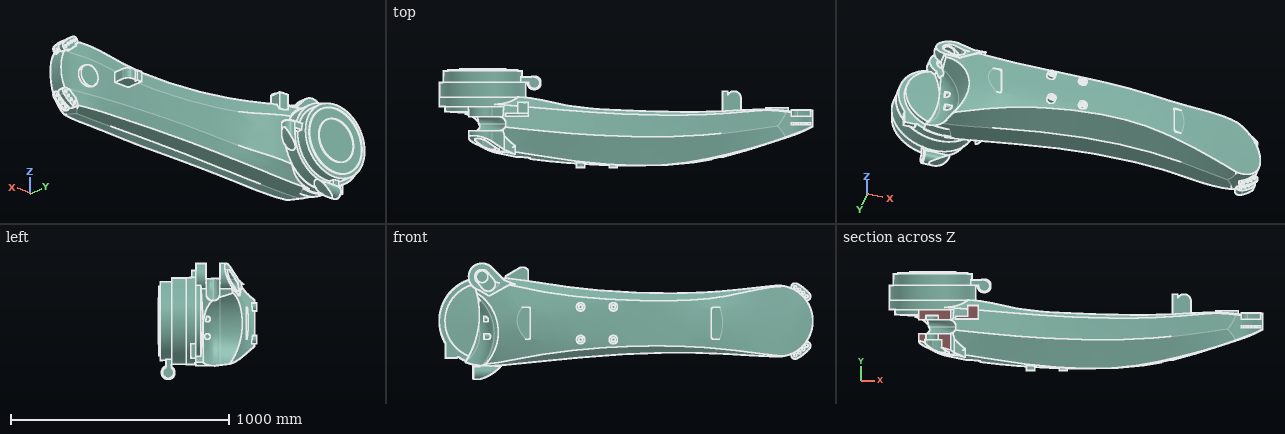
import cadquery as cq
import math


drum_radius = 200.0
flange_depth = 173.0
drum_steps = [
    (105.0, 0.0, 10.0),
    (160.0, 4.0, 12.0),
    (181.0, 9.0, 62.0),
    (drum_radius - 1.5, 62.0, 130.0),
    (drum_radius, 130.0, flange_depth),
]
cover_radius = 173.0
cover_rim_depth = 196.0
cover_depth = 207.0

neck_radius = 205.0
neck_end_depth = 220.0
wrist_x = 1350.0
wrist_radius = 164.15
shoulder_inset = 8.0
back_inset = 75.0
arm_end_x = wrist_x + wrist_radius + 2.0
arm_sections = [
    (-60.0, 196.0, -198.0, (183.0, 305.0), (-192.0, 295.0), 335.0, 245.0, 160.0, 138.0),
    (60.0, 200.0, -205.0, (178.0, 364.0), (-192.0, 345.0), 384.0, 262.0, 162.0, 138.0),
    (210.0, 184.0, -191.0, (147.0, 390.0), (-164.0, 387.0), 413.0, 278.0, 175.0, 132.0),
    (390.0, 157.0, -173.0, (117.0, 418.0), (-137.0, 418.0), 432.0, 295.0, 190.0, 168.0),
    (640.0, 134.0, -153.0, (97.0, 441.0), (-117.0, 441.0), 444.0, 309.0, 207.0, 189.0),
    (840.0, 128.0, -146.0, (93.0, 440.0), (-114.0, 440.0), 441.5, 311.0, 212.0, 196.0),
    (1090.0, 137.0, -150.0, (110.0, 399.0), (-127.0, 399.0), 407.0, 296.0, 206.0, 194.0),
    (1210.0, 149.0, -157.0, (134.0, 369.0), (-141.0, 369.0), 374.0, 281.0, 195.0, 187.0),
    (wrist_x, wrist_radius, -wrist_radius, (158.0, 327.0), (-158.0, 327.0), 329.0, 261.0, 192.0, 188.0),
    (arm_end_x, wrist_radius, -wrist_radius, (159.0, 260.0), (-159.0, 260.0), 262.0, 248.0, 196.0, 188.0),
]
wrist_back_depth = 188.0
wrist_boss_radius = 52.0
wrist_boss_depth = 177.0
wrist_boss_overlap = 10.0

mouth_wall_radius = 400.0
mouth_wall_x = -415.0
mouth_wall_z = 30.0
lip_x = -170.0
lip_z = -57.0
lip_inner = (156.0, 206.0)
lip_bend = (195.0, 226.0)
lip_throat = (222.0, 283.0)
lip_outer = (245.0, 400.0)
cap_screw_radius = 13.0
cap_screw_x = 5.0
cap_screw_length = 60.0
cap_screw_depth = 226.0
cap_screw_heights = (9.0, -71.0)

lug_x = -3.0
lug_z = 203.2
lug_radius = 62.0
lug_root = [(100.0, 187.0), (150.0, 168.0), (125.0, 168.0), (30.0, 115.0)]
lug_front_depth = 283.0
lug_front_end = 400.0
lug_bore_radius = 27.0
lug_bore_floor = 200.0
lug_slope_x = 0.3
lug_slope_z = -0.35
lug_plane_depth = 406.0
lug_trim_size = 1000.0
seat_radius = 33.0
seat_end_x = 25.0
seat_end_z = 170.0
seat_depth = 312.0
gap_radius = 110.0
gap_rim_round = 30.0

screw_x = 524.0
face_z = -10.0
screw_pitch = 150.0
screw_radius = 19.0
screw_socket_radius = 9.0
screw_socket_depth = 6.0
screw_top_depth = 453.0
flat_floor_depth = 405.0
flat_height = 146.0
flat_corner_radius = 8.0
left_flat_edge = 219.0
right_flat_edge = 1049.0
flat_width = 75.0

port_radius = 31.0
lower_port_depth = 46.0
side_port_depth = 64.0
port_offset = 236.24
port_chamfer = 5.0
port_start = -46.0
port_taper_start = -13.0
port_end = 85.0
port_taper_bulge = (30.0, -250.0)
port_web_top = -150.0
web_depths = (36.0, 62.0)

bracket_inner_radius = 150.0
bracket_pitch_radius = 176.0
bracket_half_width = 19.0
bracket_hole_radius = 6.0
bracket_angles = (40.0, 47.3, 54.6, 62.0)
bracket_plates = ((188.0, 218.0), (248.0, 256.0))

tab_plate_depths = (203.0, 217.0)
tab_block_depths = (154.0, 203.0)
tab_left = 95.0
tab_right = 209.0
tab_root_z = 150.0
tab_shoulder = (105.0, 206.0)
tab_crest_start = (165.0, 242.0)
tab_crest = (190.0, 247.0)
tab_crest_end_z = 232.0
tab_block_left = 160.0
foot_outline = [(-171.0, -100.0), (-171.0, -170.0), (-118.0, -170.0), (-100.0, -150.0)]
foot_depths = (150.0, flange_depth)
peg_x = 1152.0
peg_radius = 33.0
peg_top_depth = 102.0
peg_end_depth = 230.0
peg_z = (16.0, 66.0)
peg_plate_x = 1099.0
peg_plate_width = 25.0


def at_depth(depth):
    """XZ sketch plane at a depth; local X is +X, local Y is +Z, extrudes toward -Y."""
    return cq.Workplane("XZ", origin=(0, -depth, 0))


def disc(x, z, radius, start, end):
    return at_depth(start).center(x, z).circle(radius).extrude(end - start)


def block(x_range, depth_range, z_range):
    (x0, x1), (d0, d1), (z0, z1) = x_range, depth_range, z_range
    return cq.Workplane("XY").box(x1 - x0, d1 - d0, z1 - z0, centered=False).translate((x0, -d1, z0))


def drum():
    body = disc(0, 0, *drum_steps[0])
    for radius, start, end in drum_steps[1:]:
        body = body.union(disc(0, 0, radius, start, end))
    return body


def drum_cover():
    profile = [
        (0, -flange_depth),
        (cover_radius, -flange_depth),
        (cover_radius, -cover_rim_depth),
        (0, -cover_depth),
    ]
    return cq.Workplane("XY").polyline(profile).close().revolve(360, (0, 0), (0, 1))


def arm_section(x, top, bottom, top_edge, bottom_edge, crown, middle, shoulder, back):
    def corner(depth, z):
        return cq.Vector(x, -depth, z)

    edge_top = corner(top_edge[1], top_edge[0])
    edge_bottom = corner(bottom_edge[1], bottom_edge[0])
    chain = [
        edge_bottom,
        corner(middle, bottom),
        corner(shoulder, bottom + shoulder_inset),
        corner(back, bottom + back_inset),
        corner(back, top - back_inset),
        corner(shoulder, top - shoulder_inset),
        corner(middle, top),
        edge_top,
    ]
    sides = [cq.Edge.makeLine(start, end) for start, end in zip(chain, chain[1:])]
    face_middle = corner(crown, (top_edge[0] + bottom_edge[0]) / 2)
    front = cq.Edge.makeThreePointArc(edge_top, face_middle, edge_bottom)
    return cq.Wire.assembleEdges(sides + [front])


def arm_body():
    """Lofted beam, rounded about the wrist axis, with the drum neck and wrist boss."""
    wires = [arm_section(*section) for section in arm_sections]
    beam = cq.Workplane(cq.Solid.makeLoft(wires, False))
    depths = (0.0, screw_top_depth)
    heights = (-2 * wrist_radius, 2 * wrist_radius)
    end_round = block((wrist_x, wrist_x + 2 * wrist_radius), depths, heights)
    end_round = end_round.cut(disc(wrist_x, 0, wrist_radius, *depths))
    neck = disc(0, 0, neck_radius, flange_depth, neck_end_depth)
    boss = disc(wrist_x, 0, wrist_boss_radius, wrist_boss_depth, wrist_back_depth + wrist_boss_overlap)
    return beam.cut(end_round).union(neck).union(boss)


def wrist_bracket():
    """Two-plate bracket with bolt holes on an arc around the wrist axis."""
    first = math.radians(bracket_angles[0])
    last = math.radians(bracket_angles[-1])
    centre = (first + last) / 2
    outer = bracket_pitch_radius + bracket_half_width

    def polar(radius, angle):
        return (wrist_x + radius * math.cos(angle), radius * math.sin(angle))

    bracket = None
    for start, end in bracket_plates:
        plate = (
            at_depth(start)
            .moveTo(*polar(bracket_inner_radius, first))
            .lineTo(*polar(outer, first))
            .threePointArc(polar(outer, centre), polar(outer, last))
            .lineTo(*polar(bracket_inner_radius, last))
            .close()
            .extrude(end - start)
        )
        for angle in (first, last):
            plate = plate.union(disc(*polar(bracket_pitch_radius, angle), bracket_half_width, start, end))
        for angle in bracket_angles:
            hole = disc(*polar(bracket_pitch_radius, math.radians(angle)), bracket_hole_radius, start, end)
            plate = plate.cut(hole)
        bracket = plate if bracket is None else bracket.union(plate)
    return bracket


def mouth():
    wall = disc(mouth_wall_x, mouth_wall_z, mouth_wall_radius, flange_depth, lip_outer[1])
    flare = (
        cq.Workplane("XY", origin=(lip_x, 0, lip_z))
        .moveTo(0, -lip_inner[1])
        .lineTo(lip_inner[0], -lip_inner[1])
        .threePointArc((lip_bend[0], -lip_bend[1]), (lip_throat[0], -lip_throat[1]))
        .lineTo(lip_outer[0], -lip_outer[1])
        .lineTo(0, -lip_outer[1])
        .close()
        .revolve(360, (0, 0), (0, 1))
    )
    return wall.union(flare)


def lug(start, end):
    """Round lug blended by straight flanks into the arm."""
    flank = lug_radius * math.sqrt(0.5)
    upper_flank = (lug_x + flank, lug_z + flank)
    lower_flank = (lug_x - flank, lug_z - flank)
    outline = [upper_flank] + lug_root + [lower_flank]
    web = at_depth(start).polyline(outline).close().extrude(end - start)
    return web.union(disc(lug_x, lug_z, lug_radius, start, end))


def lug_slope():
    """Block filling the space in front of the sloping lug face."""
    normal = cq.Vector(-lug_slope_x, -1, -lug_slope_z)
    plane = cq.Plane(origin=(0, -lug_plane_depth, 0), xDir=(1, -lug_slope_x, 0), normal=normal)
    return cq.Workplane(plane).rect(lug_trim_size, lug_trim_size).extrude(lug_trim_size)


def seat():
    run_x = seat_end_x - lug_x
    run_z = seat_end_z - lug_z
    angle = math.degrees(math.atan2(run_z, run_x))
    length = math.hypot(run_x, run_z) + 2 * seat_radius
    return (
        at_depth(seat_depth)
        .center((lug_x + seat_end_x) / 2, (lug_z + seat_end_z) / 2)
        .slot2D(length, 2 * seat_radius, angle)
        .extrude(lug_front_end - seat_depth)
    )


def lug_gap():
    """Round-rimmed slot between the lugs, turned about the lug axis."""
    slot = disc(lug_x, lug_z, gap_radius, neck_end_depth, lug_front_depth)
    return slot.edges().fillet(gap_rim_round)


def face_screws(body):
    for side_x in (-0.5, 0.5):
        for side_z in (-0.5, 0.5):
            x = screw_x + side_x * screw_pitch
            z = face_z + side_z * screw_pitch
            body = body.union(disc(x, z, screw_radius, flat_floor_depth, screw_top_depth))
            socket_start = screw_top_depth - screw_socket_depth
            body = body.cut(disc(x, z, screw_socket_radius, socket_start, screw_top_depth))
    return body


def cap_screws(body):
    """Screw ends standing out of the mouth wall, along X."""
    for screw_z in cap_screw_heights:
        sketch = cq.Workplane("YZ", origin=(cap_screw_x, -cap_screw_depth, screw_z))
        body = body.union(sketch.circle(cap_screw_radius).extrude(cap_screw_length))
    return body


def face_flat(edge_x, direction):
    """Recess with a floor square to Y that runs out where the face curves away."""
    return (
        at_depth(flat_floor_depth)
        .center(edge_x + direction * flat_width / 2, face_z)
        .rect(flat_width, flat_height)
        .extrude(screw_top_depth - flat_floor_depth)
        .edges("|Y")
        .fillet(flat_corner_radius)
    )


def cable_port(port_depth):
    """Port below the drum, pointing to -X, with a tapering tail and a web."""
    pipe = (
        cq.Workplane("YZ", origin=(port_start, -port_depth, -port_offset))
        .circle(port_radius)
        .extrude(port_end - port_start)
        .faces("<X")
        .chamfer(port_chamfer)
    )
    bottom = -port_offset - port_radius
    envelope = (
        at_depth(port_depth - port_radius)
        .moveTo(port_start, bottom)
        .lineTo(port_taper_start, bottom)
        .threePointArc(port_taper_bulge, (port_end, -port_offset + port_radius))
        .lineTo(port_start, -port_offset + port_radius)
        .close()
        .extrude(2 * port_radius)
    )
    web = block((port_start, port_taper_start), web_depths, (-port_offset, port_web_top))
    return pipe.intersect(envelope).union(web)


def stop_tab():
    plate = (
        at_depth(tab_plate_depths[0])
        .moveTo(tab_left, tab_root_z)
        .lineTo(*tab_shoulder)
        .lineTo(*tab_crest_start)
        .threePointArc(tab_crest, (tab_right, tab_crest_end_z))
        .lineTo(tab_right, tab_root_z)
        .close()
        .extrude(tab_plate_depths[1] - tab_plate_depths[0])
    )
    heights = (tab_root_z, tab_crest_end_z)
    return plate.union(block((tab_block_left, tab_right), tab_block_depths, heights))


def foot():
    return at_depth(foot_depths[0]).polyline(foot_outline).close().extrude(foot_depths[1] - foot_depths[0])


def rear_peg():
    height = peg_z[1] - peg_z[0]
    sketch = cq.Workplane("XY", origin=(0, 0, peg_z[0]))
    round_end = sketch.center(peg_x, -peg_top_depth - peg_radius).circle(peg_radius).extrude(height)
    depths = (peg_top_depth + peg_radius, peg_end_depth)
    stem = block((peg_x - peg_radius, peg_x + peg_radius), depths, peg_z)
    plate_x = (peg_plate_x, peg_plate_x + peg_plate_width)
    plate = block(plate_x, (peg_top_depth, peg_end_depth), peg_z)
    return round_end.union(stem).union(plate)


arm = arm_body()
arm = arm.cut(mouth())
arm = arm.union(lug(lug_front_depth, lug_front_end).cut(lug_slope()))
arm = arm.union(lug(flange_depth, neck_end_depth))
arm = arm.cut(lug_gap()).cut(seat())
arm = arm.cut(disc(lug_x, lug_z, lug_bore_radius, lug_bore_floor, lug_front_end))
arm = arm.cut(face_flat(left_flat_edge, -1)).cut(face_flat(right_flat_edge, 1))
arm = face_screws(arm)
arm = cap_screws(arm)

bracket = wrist_bracket()
arm = arm.union(bracket).union(bracket.mirror("XY"))
arm = arm.union(stop_tab()).union(rear_peg())

lower_port = cable_port(lower_port_depth)
side_port = cable_port(side_port_depth).rotate((0, 0, 0), (0, 1, 0), -90).mirror("XY")
base = drum().union(drum_cover()).union(foot()).union(lower_port).union(side_port)
result = base.union(arm)